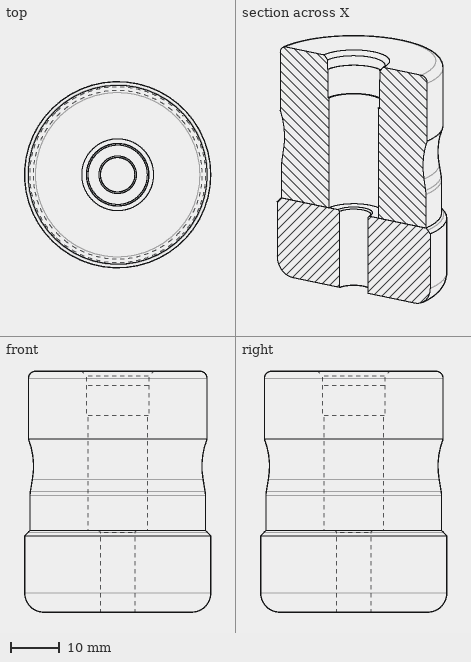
import cadquery as cq

height = 49.3
base_radius = 38.1 / 2
base_fillet = 3.95
base_shoulder_z = 15.65
base_bevel_radius = 18.4
base_bevel_z = 16.32
joint_z = 16.7
bolt_hole_radius = 3.5
bolt_hole_chamfer = 0.35

shank_radius = 18.0
shank_top_z = 23.9
cone_bottom_radius = 17.9
cone_bottom_z = 24.75
cone_top_radius = 17.5
cone_top_z = 27.15
waist_radius = 17.25
waist_z = 30.05
head_radius = 18.3
head_bottom_z = 35.4
head_fillet = 1.5

mouth_radius = 6.4
mouth_bottom_z = height - 2.95
mouth_chamfer = 0.95
bore_radius = 6.35
bore_bottom_z = height - 9.05
lower_bore_radius = 6.05


def cylinder(radius, bottom_z, top_z):
    """Upright cylinder on the part's axis."""
    return cq.Workplane("XY").workplane(offset=bottom_z).circle(radius).extrude(top_z - bottom_z)


def revolve_about_z(half_section):
    """Turn a closed half section, drawn as radius and height, about Z."""
    return half_section.close().revolve(360, (0, 0, 0), (0, 1, 0))


def make_base():
    """Rounded cap with a bevelled shoulder and a through bolt hole."""
    body = revolve_about_z(
        cq.Workplane("XZ")
        .lineTo(base_radius, 0)
        .lineTo(base_radius, base_shoulder_z)
        .lineTo(base_bevel_radius, base_bevel_z)
        .lineTo(shank_radius, joint_z)
        .lineTo(0, joint_z)
    )
    body = body.faces("<Z").edges().fillet(base_fillet)
    body = body.cut(cylinder(bolt_hole_radius, 0, joint_z))
    return body.faces(">Z").edges(cq.selectors.RadiusNthSelector(0)).chamfer(bolt_hole_chamfer)


def make_sleeve():
    """Waisted sleeve standing on the base, bored right through."""
    body = revolve_about_z(
        cq.Workplane("XZ")
        .moveTo(0, joint_z)
        .lineTo(shank_radius, joint_z)
        .lineTo(shank_radius, shank_top_z)
        .lineTo(cone_bottom_radius, cone_bottom_z)
        .lineTo(cone_top_radius, cone_top_z)
        .threePointArc((waist_radius, waist_z), (head_radius, head_bottom_z))
        .lineTo(head_radius, height)
        .lineTo(0, height)
    )
    body = body.faces(">Z").edges().fillet(head_fillet)
    body = body.cut(cylinder(lower_bore_radius, joint_z, bore_bottom_z))
    body = body.cut(cylinder(bore_radius, bore_bottom_z, mouth_bottom_z))
    body = body.cut(cylinder(mouth_radius, mouth_bottom_z, height))
    return body.faces(">Z").edges(cq.selectors.RadiusNthSelector(0)).chamfer(mouth_chamfer)


base = make_base()
sleeve = make_sleeve()
result = cq.Compound.makeCompound([base.val(), sleeve.val()])